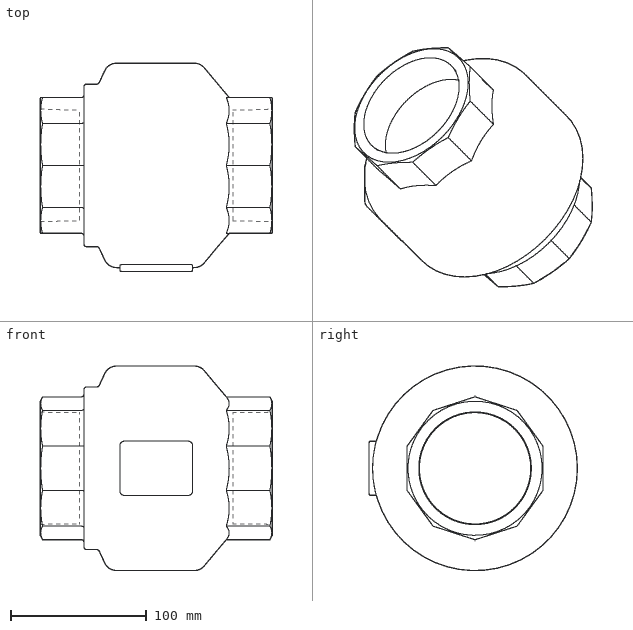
import cadquery as cq
import math

length = 171.0

side_count = 10
across_flats = 100.2
end_bevel_depth = 1.7
end_face_radius = 49.5

collar_start = 32.1
collar_radius = 120.0 / 2
collar_edge_fillet = 2.0
collar_to_body_fillet = 2.0
hex_to_collar_fillet = 1.9

body_radius = 151.0 / 2
body_start = 56.5
body_end = 113.4
shoulder_fillet = 10.0
inlet_cone_angle = math.radians(65)
outlet_cone_angle = math.radians(50)

pad_length = 53.7
pad_height = 40.0
pad_face_distance = 78.1
pad_corner_radius = 3.5
pad_edge_fillet = 1.2

socket_mouth_radius = 41.5
socket_end_radius = 41.0
thread_depth = 15.4
socket_depth = 29.0

select_margin = 0.2
clearance = 1.7

corner_radius = across_flats / 2 / math.cos(math.pi / side_count)


def wrench_end(x_start, x_end):
    """Ten-sided prism with two flats facing +Y and -Y and corners on +Z and -Z."""
    return (
        cq.Workplane("YZ", origin=(x_start, 0, 0))
        .transformed(rotate=(0, 0, 90))
        .polygon(side_count, 2 * corner_radius)
        .extrude(x_end - x_start)
    )


def arc_point(center, radius, angle):
    """Point on an arc, with the angle measured from the outward radial direction towards +X."""
    return (center[0] + radius * math.sin(angle), center[1] + radius * math.cos(angle))


def round_body():
    """Collar, inlet cone, cylinder and outlet cone turned around X."""
    inlet_center = (body_start, body_radius - shoulder_fillet)
    outlet_center = (body_end, body_radius - shoulder_fillet)
    inlet_cone_top = arc_point(inlet_center, shoulder_fillet, -inlet_cone_angle)
    outlet_cone_top = arc_point(outlet_center, shoulder_fillet, outlet_cone_angle)

    neck_rise = collar_to_body_fillet * (1 - math.cos(inlet_cone_angle))
    inlet_cone_bottom_radius = collar_radius + neck_rise
    inlet_cone_length = (inlet_cone_top[1] - inlet_cone_bottom_radius) / math.tan(inlet_cone_angle)
    inlet_cone_bottom = (inlet_cone_top[0] - inlet_cone_length, inlet_cone_bottom_radius)
    neck_start = inlet_cone_bottom[0] - collar_to_body_fillet * math.sin(inlet_cone_angle)
    neck_center = (neck_start, collar_radius + collar_to_body_fillet)
    neck_middle = arc_point(neck_center, collar_to_body_fillet, math.pi - inlet_cone_angle / 2)

    outlet_cone_bottom_radius = across_flats / 2 - clearance
    outlet_cone_drop = outlet_cone_top[1] - outlet_cone_bottom_radius
    outlet_cone_end = outlet_cone_top[0] + outlet_cone_drop / math.tan(outlet_cone_angle)

    collar_edge_center = (collar_start + collar_edge_fillet, collar_radius - collar_edge_fillet)
    return (
        cq.Workplane("XY")
        .moveTo(collar_start, 0)
        .lineTo(collar_start, collar_edge_center[1])
        .threePointArc(
            arc_point(collar_edge_center, collar_edge_fillet, -math.pi / 4),
            (collar_edge_center[0], collar_radius),
        )
        .lineTo(neck_start, collar_radius)
        .threePointArc(neck_middle, inlet_cone_bottom)
        .lineTo(*inlet_cone_top)
        .threePointArc(
            arc_point(inlet_center, shoulder_fillet, -inlet_cone_angle / 2),
            (body_start, body_radius),
        )
        .lineTo(body_end, body_radius)
        .threePointArc(
            arc_point(outlet_center, shoulder_fillet, outlet_cone_angle / 2),
            outlet_cone_top,
        )
        .lineTo(outlet_cone_end, outlet_cone_bottom_radius)
        .lineTo(outlet_cone_end, 0)
        .close()
        .revolve(360, (0, 0, 0), (1, 0, 0))
    )


def end_bevel_envelope():
    """Turned blank whose conical ends bevel the corners of both wrench ends."""
    clear_radius = body_radius + clearance
    bevel_slope = (corner_radius - end_face_radius) / end_bevel_depth
    bevel_length = (clear_radius - end_face_radius) / bevel_slope
    return (
        cq.Workplane("XY")
        .polyline([
            (0, 0),
            (0, end_face_radius),
            (bevel_length, clear_radius),
            (length - bevel_length, clear_radius),
            (length, end_face_radius),
            (length, 0),
        ])
        .close()
        .revolve(360, (0, 0, 0), (1, 0, 0))
    )


def pad():
    """Rounded rectangular pad that stands out of the cylinder towards -Y."""
    return (
        cq.Workplane("XZ", origin=(length / 2, -body_radius / 2, 0))
        .rect(pad_length, pad_height)
        .extrude(pad_face_distance - body_radius / 2)
        .edges("|Y")
        .fillet(pad_corner_radius)
        .faces("<Y")
        .edges()
        .fillet(pad_edge_fillet)
    )


def inlet_socket():
    """Tapered thread length followed by a straight blind bore."""
    return (
        cq.Workplane("XY")
        .polyline([
            (0, 0),
            (0, socket_mouth_radius),
            (thread_depth, socket_end_radius),
            (socket_depth, socket_end_radius),
            (socket_depth, 0),
        ])
        .close()
        .revolve(360, (0, 0, 0), (1, 0, 0))
    )


def inlet_and_body():
    """Inlet wrench end on the collar, with a concave fillet round its foot."""
    reach = corner_radius + select_margin
    foot_region = cq.selectors.BoxSelector(
        (collar_start - select_margin, -reach, -reach),
        (collar_start + select_margin, reach, reach),
    )
    return (
        wrench_end(0, collar_start)
        .union(round_body())
        .edges(foot_region)
        .edges("not %CIRCLE")
        .fillet(hex_to_collar_fillet)
    )


valve = inlet_and_body().union(wrench_end(body_end, length))
valve = valve.intersect(end_bevel_envelope()).union(pad())

inlet = inlet_socket()
outlet = inlet.mirror("YZ", (length / 2, 0, 0))
result = valve.cut(inlet).cut(outlet)